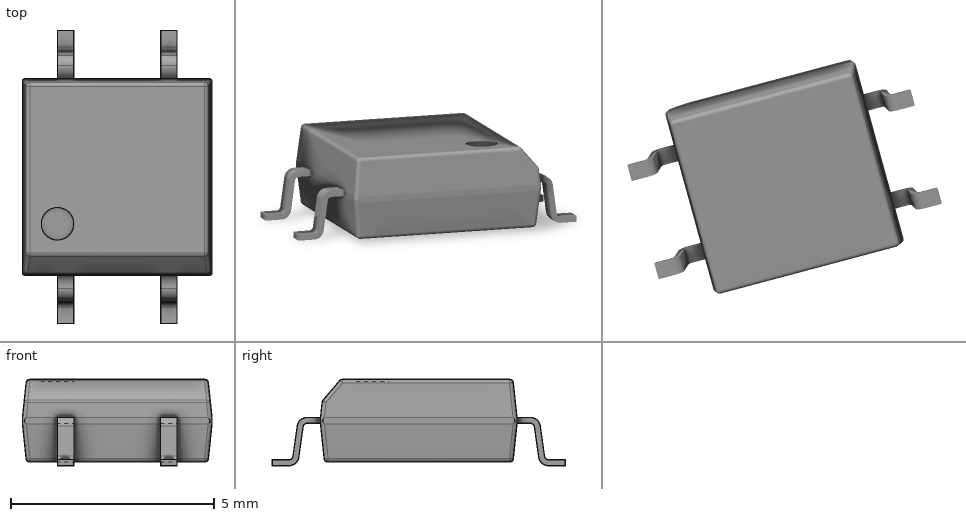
import cadquery as cq
import math

body_width = 4.67
body_length = 4.84
body_bottom = 0.09
body_top = 2.13
parting_z = 1.11
band_height = 0.15
draft_angle = 6.0
edge_radius = 0.1

bevel_top_y = -1.92
bevel_foot_z = 1.59

dimple_diameter = 0.8
dimple_depth = 0.05
dimple_x = -1.47
dimple_y = -1.15

lead_span = 7.21
lead_pitch = 2.54
lead_width = 0.4
lead_thickness = 0.15
lead_foot_length = 0.41
lead_slope = 8.0
bend_inner_radius = 0.1
lead_top = 1.193
lead_z = lead_top - lead_thickness / 2
lead_overlap = 0.1
lead_root_y = body_length / 2 - lead_overlap

draft_slope = math.tan(math.radians(draft_angle))


def drafted_block(height):
    """Block on the parting plane that narrows away from it, with the draft passing the band edge."""
    extra = band_height * draft_slope
    return (
        cq.Workplane("XY")
        .workplane(offset=parting_z)
        .rect(body_width + extra, body_length + extra)
        .extrude(height, taper=draft_angle)
    )


def rounded(block, open_side):
    """Round every edge except those lying on the parting plane."""
    return block.edges(f"not({open_side})").fillet(edge_radius)


def bevel_cutter():
    """Wedge that removes the upper -Y edge, with its slope running through the two bevel edges."""
    band_edge_z = parting_z + band_height / 2
    bevel_foot_y = -body_length / 2 + (bevel_foot_z - band_edge_z) * draft_slope
    run = bevel_top_y - bevel_foot_y
    rise = body_top - bevel_foot_z
    return (
        cq.Workplane("YZ")
        .moveTo(bevel_top_y + run, body_top + rise)
        .lineTo(bevel_foot_y - run, bevel_foot_z - rise)
        .lineTo(bevel_foot_y - run, body_top + rise)
        .close()
        .extrude(body_width, both=True)
    )


def make_housing():
    """Two drafted halves trimmed to a vertical band, with the pin 1 dimple in the top."""
    upper = rounded(drafted_block(body_top - parting_z).cut(bevel_cutter()), "<Z")
    lower = rounded(drafted_block(body_bottom - parting_z), ">Z")
    band_envelope = cq.Workplane("XY").box(body_width, body_length, 2 * body_top)
    dimple = (
        cq.Workplane("XY")
        .workplane(offset=body_top - dimple_depth)
        .center(dimple_x, dimple_y)
        .circle(dimple_diameter / 2)
        .extrude(dimple_depth)
    )
    return upper.union(lower).intersect(band_envelope).cut(dimple)


def lead_path():
    """Centre line of a +Y lead: shoulder, upper bend, leaning leg, lower bend and foot."""
    bend_radius = bend_inner_radius + lead_thickness / 2
    slope = math.radians(lead_slope)
    turn = math.pi / 2 - slope
    bend_run = bend_radius * math.sin(turn)
    bend_drop = bend_radius * (1 - math.cos(turn))
    half_bend_run = bend_radius * math.sin(turn / 2)
    half_bend_drop = bend_radius * (1 - math.cos(turn / 2))

    foot_z = lead_thickness / 2
    leg_drop = lead_z - foot_z - 2 * bend_drop
    leg_run = leg_drop * math.tan(slope)
    foot_start = lead_span / 2 - lead_foot_length
    shoulder_end = foot_start - 2 * bend_run - leg_run

    return (
        cq.Workplane("YZ")
        .moveTo(lead_root_y, lead_z)
        .lineTo(shoulder_end, lead_z)
        .threePointArc(
            (shoulder_end + half_bend_run, lead_z - half_bend_drop),
            (shoulder_end + bend_run, lead_z - bend_drop),
        )
        .lineTo(foot_start - bend_run, foot_z + bend_drop)
        .threePointArc(
            (foot_start - half_bend_run, foot_z + half_bend_drop),
            (foot_start, foot_z),
        )
        .lineTo(lead_span / 2, foot_z)
    )


def make_lead(x, turned):
    """Untrimmed lead on the +Y face, or on the -Y face when turned half a revolution about Z."""
    section = (
        cq.Workplane("XZ", origin=(0, lead_root_y, lead_z))
        .rect(lead_width, lead_thickness)
    )
    lead = section.sweep(lead_path())
    if turned:
        lead = lead.rotate((0, 0, 0), (0, 0, 1), 180)
    return lead.translate((x, 0, 0))


housing = make_housing()
leads = []
for lead_x in (-lead_pitch / 2, lead_pitch / 2):
    for on_minus_y in (False, True):
        lead = make_lead(lead_x, on_minus_y)
        leads.append(lead.cut(housing))

result = cq.Compound.makeCompound([housing.val(), *[lead.val() for lead in leads]])